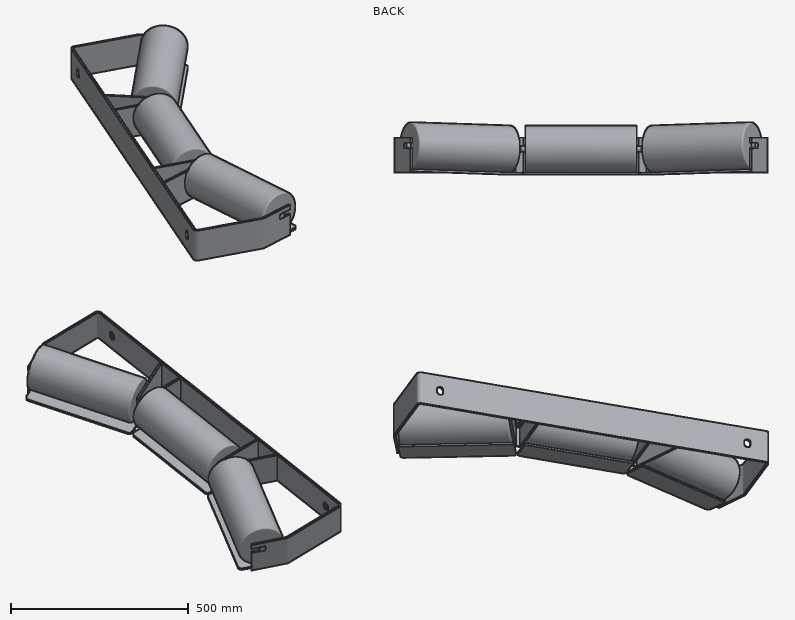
import cadquery as cq
import math

frame_length = 1050.0
frame_height = 99.0
sheet = 6.0
bend_radius = 13.0
arm_depth = 206.0
flange_length = 105.0
wing_angle = 25.0
hole_width = 19.0
hole_height = 25.0
hole_inset = 66.0

roller_diameter = 133.0
roller_length = 315.0
rim_fillet = 5.0
roller_gap = 5.0
shaft_diameter = 20.0
shaft_flats = 16.0
middle_axis_y = 124.0
side_axis_offset = 74.0
side_tilt = 1.7

bracket_depth = 152.0

plate_thickness = 6.0
plate_corner = 10.0
plate_clearance = 0.5
plate_overlap = 4.0

roller_radius = roller_diameter / 2
support_span = roller_length + 2 * roller_gap
shaft_length = support_span + 2 * sheet
half_length = frame_length / 2
wing = math.radians(wing_angle)
tilt = math.radians(side_tilt)

axis_x, axis_y = math.cos(wing), -math.sin(wing)
flange_x, flange_y = math.sin(wing), math.cos(wing)

middle_axis_z = roller_radius
side_axis_z = middle_axis_z + roller_length / 2 * math.sin(tilt)
side_reach = sheet + support_span / 2
side_axis_x = -half_length + side_reach * axis_x + side_axis_offset * flange_x
side_axis_y = arm_depth + side_reach * axis_y + side_axis_offset * flange_y


def place_middle(shape):
    """Move a shape built along X at the origin to the middle roller."""
    return shape.translate((0, middle_axis_y, middle_axis_z))


def place_left(shape):
    """Move a shape built along X at the origin to the left roller, its +X end inwards."""
    tilted = shape.rotate((0, 0, 0), (0, 1, 0), side_tilt)
    turned = tilted.rotate((0, 0, 0), (0, 0, 1), -wing_angle)
    return turned.translate((side_axis_x, side_axis_y, side_axis_z))


def with_mirror(shape):
    """A left-hand shape and its right-hand twin."""
    return [shape, shape.mirror("YZ")]


def three_places(shape):
    """The middle, left and right copies of a shape built along X at the origin."""
    return [place_middle(shape), *with_mirror(place_left(shape))]


def cylinder_along_x(radius, length):
    """Cylinder about the X axis, centred at the origin."""
    return cq.Workplane("YZ").workplane(offset=-length / 2).circle(radius).extrude(length)


def make_shaft():
    """Round shaft, flattened above and below where it passes through the sheets."""
    shaft = cylinder_along_x(shaft_diameter / 2, shaft_length)
    flats = cq.Workplane("XY").box(shaft_length, shaft_diameter, shaft_flats)
    neck_length = roller_length + roller_gap
    neck = cq.Workplane("XY").box(neck_length, shaft_diameter, shaft_diameter)
    return shaft.intersect(flats.union(neck))


def make_roller():
    """Roller drum with rounded rims and its shaft."""
    drum = cylinder_along_x(roller_radius, roller_length)
    drum = drum.edges("%CIRCLE").fillet(rim_fillet)
    return drum.union(make_shaft())


def make_slot_cutter():
    """Both shaft slots of one roller: the flattened shaft swept to the rear."""
    reach = flange_length
    cut_length = shaft_length + sheet
    bore = cylinder_along_x(shaft_diameter / 2, cut_length)
    channel = cq.Workplane("XY").box(cut_length, reach, shaft_flats).translate((0, reach / 2, 0))
    flats = cq.Workplane("XY").box(cut_length, shaft_diameter, shaft_flats)
    space_between = cq.Workplane("XY").box(roller_length, 2 * reach, 2 * reach)
    return channel.union(bore.intersect(flats)).cut(space_between)


def make_guard_plate(start, end):
    """Plate from X = start to end, touching a roller's underside from below its axis to its rear."""
    length = end - start
    plate = (
        cq.Workplane("XY")
        .box(length, roller_radius, plate_thickness)
        .edges("|Z and >Y")
        .fillet(plate_corner)
    )
    middle_x = (start + end) / 2
    return plate.translate((middle_x, roller_radius / 2, -roller_radius - plate_thickness / 2))


def make_frame():
    """Bent strip with mounting holes in front and a shaft slot in each end flange."""
    tip_x = -half_length + flange_length * flange_x
    tip_y = arm_depth + flange_length * flange_y
    inner_x = -half_length + sheet
    inner_bend_y = arm_depth - sheet * math.tan(wing / 2)
    inner_tip_x = tip_x + sheet * axis_x
    inner_tip_y = tip_y + sheet * axis_y
    left_outer = [(-half_length, 0), (-half_length, arm_depth), (tip_x, tip_y)]
    left_inner = [(inner_tip_x, inner_tip_y), (inner_x, inner_bend_y), (inner_x, sheet)]
    left_side = left_outer + left_inner
    right_side = [(-x, y) for x, y in reversed(left_side)]
    frame = cq.Workplane("XY").polyline(left_side + right_side).close().extrude(frame_height)

    for side in (-1, 1):
        outer_bends = [(side * half_length, 0), (side * half_length, arm_depth)]
        inner_bends = [(side * -inner_x, sheet), (side * -inner_x, inner_bend_y)]
        for bends, radius in ((outer_bends, bend_radius), (inner_bends, bend_radius - sheet)):
            for x, y in bends:
                edge = cq.selectors.NearestToPointSelector((x, y, frame_height / 2))
                frame = frame.edges("|Z").edges(edge).fillet(radius)

    hole_x = half_length - hole_inset
    holes = (
        cq.Workplane("XZ")
        .pushPoints([(-hole_x, frame_height / 2), (hole_x, frame_height / 2)])
        .slot2D(hole_height, hole_width, 90)
        .extrude(-sheet)
    )
    return frame.cut(holes)


def make_left_bracket():
    """Folded sheet with a straight leg for the middle roller and a slanted one for the left roller."""
    straight_x = -support_span / 2
    leg_x = -half_length + (sheet + support_span) * axis_x
    leg_y = arm_depth + (sheet + support_span) * axis_y
    lean = math.tan(wing)
    web_y = bracket_depth - sheet

    def slanted_x(y, inset):
        return leg_x + (y - leg_y) * lean + inset / math.cos(wing)

    outline = [
        (straight_x, sheet),
        (straight_x, bracket_depth),
        (slanted_x(bracket_depth, 0), bracket_depth),
        (slanted_x(sheet, 0), sheet),
        (slanted_x(sheet, sheet), sheet),
        (slanted_x(web_y, sheet), web_y),
        (straight_x - sheet, web_y),
        (straight_x - sheet, sheet),
    ]
    return cq.Workplane("XY").polyline(outline).close().extrude(frame_height)


rollers = three_places(make_roller())

plate_end = support_span / 2 - plate_clearance
lean_shift = (roller_radius + plate_thickness / 2) * math.tan(tilt)
middle_plate = place_middle(make_guard_plate(-plate_end, plate_end))
left_plate = place_left(make_guard_plate(lean_shift - plate_end, support_span / 2 + plate_overlap))
guard_plates = [middle_plate, *with_mirror(left_plate)]

frame = make_frame()
brackets = with_mirror(make_left_bracket())
for cutter in three_places(make_slot_cutter()):
    frame = frame.cut(cutter)
    brackets = [bracket.cut(cutter) for bracket in brackets]

bodies = [frame, *brackets, *rollers, *guard_plates]
result = cq.Compound.makeCompound([solid for body in bodies for solid in body.solids().vals()])